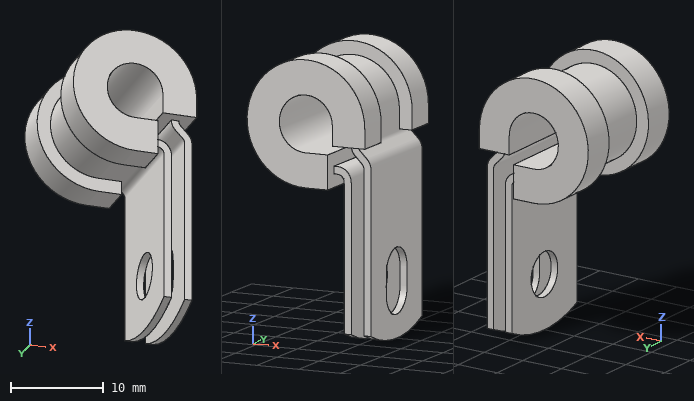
import cadquery as cq
import math


cushion_radius = 7.047
bore_radius = 3.17
cushion_width = 15.75
groove_width = 7.65
upper_end_drop = 2.17
lower_end_reach = 2.6

strap_thickness = 0.85
strap_width = 12.7
loop_radius = 5.52
bend_radius = 1.22
tab_gap = 1.5
jog_angle = math.radians(45)

total_height = 31.4
tab_end_sag = 1.35
hole_diameter = 5.15
hole_above_tip = 6.35
slot_travel = 2.2

middle_radius = loop_radius - strap_thickness / 2
tip_z = cushion_radius - total_height
outer_tab_x = cushion_radius - strap_thickness / 2
inner_tab_x = outer_tab_x - strap_thickness - tab_gap


def open_ring(outer, inner, width):
    """Three-quarter ring with a straight run at each open end, centred on Y = 0."""
    outer_mid = outer * math.sqrt(0.5)
    inner_mid = inner * math.sqrt(0.5)
    return (
        cq.Workplane("XZ")
        .moveTo(lower_end_reach, -outer)
        .lineTo(0, -outer)
        .threePointArc((-outer_mid, outer_mid), (outer, 0))
        .lineTo(outer, -upper_end_drop)
        .lineTo(inner, -upper_end_drop)
        .lineTo(inner, 0)
        .threePointArc((-inner_mid, inner_mid), (0, -inner))
        .lineTo(lower_end_reach, -inner)
        .close()
        .extrude(width / 2, both=True)
    )


def sweep_strap(start_plane, centreline):
    """Sweep the strap section, thickness by width, along a centreline in the XZ plane."""
    section = cq.Workplane(start_plane).rect(strap_thickness, strap_width)
    return section.sweep(centreline)


def inner_tab():
    """Tab that leaves the lower cushion end sideways and bends straight down."""
    bend_start_x = inner_tab_x - bend_radius
    bend_end_z = -middle_radius - bend_radius
    centreline = (
        cq.Workplane("XZ")
        .moveTo(lower_end_reach, -middle_radius)
        .lineTo(bend_start_x, -middle_radius)
        .tangentArcPoint((inner_tab_x, bend_end_z), relative=False)
        .lineTo(inner_tab_x, tip_z)
    )
    start = cq.Plane(origin=(lower_end_reach, 0, -middle_radius), xDir=(0, 0, 1), normal=(1, 0, 0))
    return sweep_strap(start, centreline)


def outer_tab():
    """Tab that leaves the upper cushion end downwards and jogs outwards through two equal bends."""
    bend_shift = bend_radius * (1 - math.cos(jog_angle))
    bend_drop = bend_radius * math.sin(jog_angle)
    slope_shift = outer_tab_x - middle_radius - 2 * bend_shift
    slope_drop = slope_shift / math.tan(jog_angle)
    slope_start = (middle_radius + bend_shift, -upper_end_drop - bend_drop)
    slope_end = (outer_tab_x - bend_shift, slope_start[1] - slope_drop)
    centreline = (
        cq.Workplane("XZ")
        .moveTo(middle_radius, -upper_end_drop)
        .radiusArc(slope_start, -bend_radius)
        .lineTo(*slope_end)
        .radiusArc((outer_tab_x, slope_end[1] - bend_drop), bend_radius)
        .lineTo(outer_tab_x, tip_z)
    )
    start = cq.Plane(origin=(middle_radius, 0, -upper_end_drop), xDir=(1, 0, 0), normal=(0, 0, -1))
    return sweep_strap(start, centreline)


def tab_outline():
    """Block along X with the arc-ended lower edge shared by both tabs."""
    half_width = strap_width / 2
    corner_z = tip_z + tab_end_sag
    return (
        cq.Workplane("YZ")
        .moveTo(-half_width, 0)
        .lineTo(-half_width, corner_z)
        .threePointArc((0, tip_z), (half_width, corner_z))
        .lineTo(half_width, 0)
        .close()
        .extrude(cushion_radius)
    )


def hole_plane(tab_x):
    """Plane across a tab, centred on its bolt opening."""
    return cq.Workplane("YZ", origin=(tab_x, 0, tip_z + hole_above_tip))


round_hole = hole_plane(inner_tab_x).circle(hole_diameter / 2).extrude(strap_thickness, both=True)
slot_length = hole_diameter + slot_travel
slot = hole_plane(outer_tab_x).slot2D(slot_length, hole_diameter, 90).extrude(strap_thickness, both=True)

flange_width = (cushion_width - groove_width) / 2
flange_offset = (groove_width + flange_width) / 2

tabs = inner_tab().cut(round_hole).union(outer_tab().cut(slot)).intersect(tab_outline())
result = open_ring(loop_radius, bore_radius, groove_width)
for side in (-1, 1):
    flange = open_ring(cushion_radius, bore_radius, flange_width)
    result = result.union(flange.translate((0, side * flange_offset, 0)))
result = result.union(tabs)